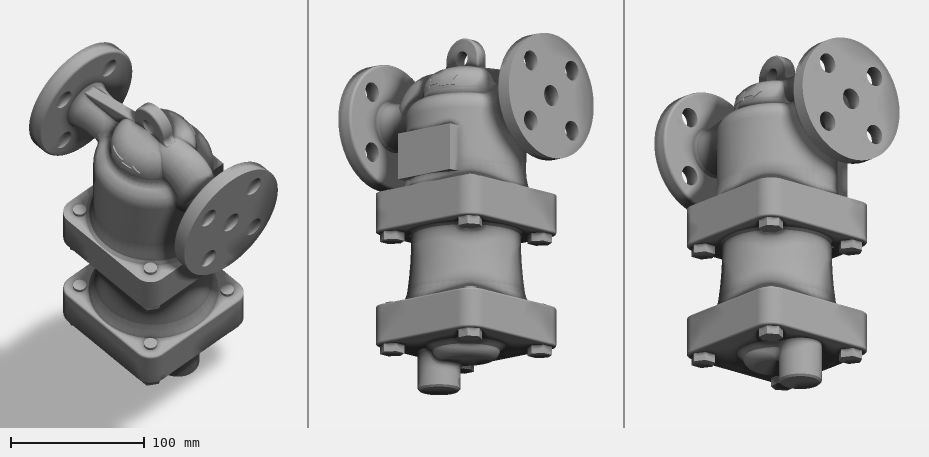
import cadquery as cq
import math


overlap = 1
select_margin = 1

flange_face_x = 85.5
flange_thickness = 12
flange_diameter = 95
flange_edge_round = 2
flange_hole_diameter = 15
flange_hole_count = 4
flange_hole_start_angle = 45
flange_bolt_circle = 65
port_diameter = 16
port_depth = flange_thickness

pipe_radius = 16
neck_start_x = 59
neck_end_x = 71
neck_mid_radius = 16.6
neck_end_radius = 18
neck_foot_radius = 19.5
elbow_top_z = 18
elbow_centre_x = 30.5
elbow_bend_radius = 16.5
inlet_fillet = 8
outlet_fillet = 3

plate_width = 103
plate_corner_radius = 13
plate_thickness = 15
plate_edge_round = 1.5
upper_joint_z = -78
lower_joint_z = -164
upper_plate_top = upper_joint_z + plate_thickness
upper_plate_bottom = upper_joint_z - plate_thickness
lower_plate_top = lower_joint_z + plate_thickness
lower_plate_bottom = lower_joint_z - plate_thickness

bolt_offset = 39
bolt_diameter = 10
bolt_end_height = 2.5
bolt_head_across_flats = 16
bolt_head_height = 6.3
bolt_head_clearance_radius = 15
bolt_head_clearance_depth = 9.5
bolt_head_clearance_round = 6

body_radius = 45
foot_radius = 50.5
foot_rim_radius = 48
foot_rim_height = 2
foot_flare_height = 15.5
foot_flare_mid_radius = 45.9
shoulder_z = -5.5
shoulder_round = 13.5
dome_radius = 32
dome_fillet = 5.5
dome_base_z = 14
dome_bulge_radius = 29
dome_bulge_z = 24.3
dome_cap_radius = 20
dome_cap_z = 30.6
dome_top_z = 34.6

middle_neck_radius = 41
middle_neck_z = -103
middle_waist_radius = 42
middle_waist_z = -121
middle_flare_radius = 44
middle_flare_z = -138.5
middle_foot_mid_radius = 45.7
middle_foot_radius = 48.5
middle_rim_width = 2
middle_rim_height = 1.8

cover_root_radius = 30
cover_radius = 25.5
cover_root_height = 3.5
cover_bulge_radius = 22.7
cover_bulge_z = -187.5
cover_floor_radius = 18
cover_floor_z = -189.7
drain_radius = 16
drain_x = 27
drain_bottom_z = -208.95
drain_chamfer = 1.5
drain_fillet = 3

lug_centre_z = 40
lug_radius = 16
lug_hole_diameter = 12
lug_thickness = 10
lug_edge_round = 1.5
lug_root_fillet = 4
lug_root_z = elbow_top_z + pipe_radius
rib_thickness = 9.2
rib_edge_round = 1
rib_outer_top_z = 18.6
rib_inner_top_z = 32

pad_width = 52
pad_face_y = 47
pad_top_z = -20
pad_bottom_z = -55
pad_fillet = 3

arrow_height = 0.8
arrow_tail_x = -15.5
arrow_notch = 2.5
arrow_step_x = -0.5
arrow_head_x = 9
arrow_tip_x = 15.5
arrow_centre_z = 18.5
arrow_wide_half = 3.8
arrow_narrow_half = 1.8


def revolve_about_z(outline):
    return outline.close().revolve(360, (0, 0, 0), (0, 1, 0))


def fillet_seam(solid, radius, low, high):
    """Round the edges whose centres lie inside the box between the corners low and high."""
    return solid.edges(cq.selectors.BoxSelector(low, high)).fillet(radius)


def square_points(offset):
    return [(sx * offset, sy * offset) for sx in (-1, 1) for sy in (-1, 1)]


def dome_outline(growth):
    """Half profile of the dome, enlarged outwards by growth."""
    cap_rise = dome_top_z - dome_cap_z
    cap_radius = (dome_cap_radius**2 + cap_rise**2) / (2 * cap_rise)
    return (
        cq.Workplane("XZ")
        .moveTo(0, 0)
        .lineTo(dome_radius + growth, 0)
        .lineTo(dome_radius + growth, dome_base_z)
        .threePointArc(
            (dome_bulge_radius + growth, dome_bulge_z + growth / 2),
            (dome_cap_radius + growth, dome_cap_z + growth),
        )
        .radiusArc((0, dome_top_z + growth), -cap_radius)
    )


def upper_body():
    flare_top = upper_plate_top + foot_flare_height
    rim_z = upper_plate_top + foot_rim_height
    shoulder_cut = shoulder_round * math.sqrt(0.5)
    shell = revolve_about_z(
        cq.Workplane("XZ")
        .moveTo(0, upper_plate_top - overlap)
        .lineTo(foot_radius, upper_plate_top - overlap)
        .lineTo(foot_radius, upper_plate_top)
        .lineTo(foot_rim_radius, rim_z)
        .threePointArc((foot_flare_mid_radius, (rim_z + flare_top) / 2), (body_radius, flare_top))
        .lineTo(body_radius, shoulder_z)
        .threePointArc(
            (body_radius - shoulder_round + shoulder_cut, shoulder_z + shoulder_cut),
            (body_radius - shoulder_round, shoulder_z + shoulder_round),
        )
        .lineTo(0, shoulder_z + shoulder_round)
    )
    body = shell.union(revolve_about_z(dome_outline(0)))
    seam_z = shoulder_z + shoulder_round
    low = (-select_margin, -select_margin, seam_z - select_margin)
    high = (select_margin, select_margin, seam_z + select_margin)
    return fillet_seam(body, dome_fillet, low, high)


def flange_and_neck(side):
    """Flange with its tapering neck; side is -1 for the inlet and +1 for the outlet."""
    back_x = flange_face_x - flange_thickness
    flange = (
        cq.Workplane("YZ")
        .workplane(offset=back_x)
        .circle(flange_diameter / 2)
        .extrude(flange_thickness)
        .faces("<X").edges().fillet(flange_edge_round)
        .faces(">X").workplane()
        .polarArray(flange_bolt_circle / 2, flange_hole_start_angle, 360, flange_hole_count)
        .hole(flange_hole_diameter)
    )
    neck = (
        cq.Workplane("XY")
        .moveTo(neck_start_x, 0)
        .lineTo(neck_start_x, pipe_radius)
        .threePointArc(
            ((neck_start_x + neck_end_x) / 2, neck_mid_radius),
            (neck_end_x, neck_end_radius),
        )
        .lineTo(back_x, neck_foot_radius)
        .lineTo(back_x, 0)
        .close()
        .revolve(360, (0, 0, 0), (1, 0, 0))
    )
    end = flange.union(neck)
    return end if side > 0 else end.mirror("YZ")


def inlet_pipe():
    return cq.Workplane("YZ").workplane(offset=-neck_start_x).circle(pipe_radius).extrude(neck_start_x)


def outlet_pipe():
    """Level run out of the dome, quarter bend downwards, level run to the neck."""
    dome_run = cq.Workplane("YZ").center(0, elbow_top_z).circle(pipe_radius).extrude(elbow_centre_x)
    bend = (
        cq.Workplane("YZ")
        .workplane(offset=elbow_centre_x)
        .center(0, elbow_top_z)
        .circle(pipe_radius)
        .revolve(90, (-1, -elbow_bend_radius, 0), (1, -elbow_bend_radius, 0))
    )
    neck_run = cq.Workplane("YZ").circle(pipe_radius).extrude(neck_start_x)
    return dome_run.union(bend).union(neck_run)


def plate(bottom_z, rounded_faces):
    body = (
        cq.Workplane("XY")
        .workplane(offset=bottom_z)
        .rect(plate_width, plate_width)
        .extrude(plate_thickness)
        .edges("|Z").fillet(plate_corner_radius)
    )
    for face in rounded_faces:
        body = body.faces(face).edges().fillet(plate_edge_round)
    return body


def bolts(joint_z):
    """Four bolts, each turned a quarter turn with its corner of the plate."""
    head_corners = bolt_head_across_flats / math.cos(math.pi / 6)
    shank = (
        cq.Workplane("XY")
        .workplane(offset=joint_z)
        .circle(bolt_diameter / 2)
        .extrude(plate_thickness + bolt_end_height)
    )
    head = (
        cq.Workplane("XY")
        .workplane(offset=joint_z - plate_thickness)
        .polygon(6, head_corners)
        .extrude(-bolt_head_height)
    )
    corner_bolt = shank.union(head).translate((bolt_offset, -bolt_offset, 0))
    bolt_set = cq.Workplane("XY")
    for quarter in range(4):
        bolt_set = bolt_set.add(corner_bolt.rotate((0, 0, 0), (0, 0, 1), 90 * quarter))
    return bolt_set.combine()


def middle_body():
    body = revolve_about_z(
        cq.Workplane("XZ")
        .moveTo(0, upper_plate_bottom)
        .lineTo(middle_neck_radius + middle_rim_width, upper_plate_bottom)
        .lineTo(middle_neck_radius, upper_plate_bottom - middle_rim_height)
        .lineTo(middle_neck_radius, middle_neck_z)
        .threePointArc((middle_waist_radius, middle_waist_z), (middle_flare_radius, middle_flare_z))
        .threePointArc(
            (middle_foot_mid_radius, (middle_flare_z + lower_plate_top) / 2),
            (middle_foot_radius, lower_plate_top),
        )
        .lineTo(0, lower_plate_top)
    )
    clearance = (
        cq.Workplane("XY")
        .workplane(offset=upper_plate_bottom)
        .pushPoints(square_points(bolt_offset))
        .circle(bolt_head_clearance_radius)
        .extrude(-bolt_head_clearance_depth)
        .faces("<Z").edges().fillet(bolt_head_clearance_round)
    )
    return body.cut(clearance)


def bottom_cover():
    root_z = lower_plate_bottom - cover_root_height
    cover = revolve_about_z(
        cq.Workplane("XZ")
        .moveTo(0, lower_plate_bottom + overlap)
        .lineTo(cover_root_radius, lower_plate_bottom + overlap)
        .lineTo(cover_root_radius, lower_plate_bottom)
        .lineTo(cover_radius, root_z)
        .threePointArc((cover_bulge_radius, cover_bulge_z), (cover_floor_radius, cover_floor_z))
        .lineTo(0, cover_floor_z)
    )
    drain = (
        cq.Workplane("XY")
        .workplane(offset=drain_bottom_z)
        .center(drain_x, 0)
        .circle(drain_radius)
        .extrude(lower_plate_bottom - drain_bottom_z)
        .faces("<Z").chamfer(drain_chamfer)
    )
    seam_low = (drain_x - drain_radius, -drain_radius, cover_floor_z)
    seam_high = (drain_x, drain_radius, lower_plate_bottom - select_margin)
    return fillet_seam(cover.union(drain), drain_fillet, seam_low, seam_high)


def lug_and_rib():
    lug = (
        cq.Workplane("XZ")
        .moveTo(-lug_radius, elbow_top_z)
        .lineTo(-lug_radius, lug_centre_z)
        .threePointArc((0, lug_centre_z + lug_radius), (lug_radius, lug_centre_z))
        .lineTo(lug_radius, lug_root_z + lug_root_fillet)
        .radiusArc((lug_radius + lug_root_fillet, lug_root_z), -lug_root_fillet)
        .lineTo(lug_radius + lug_root_fillet, elbow_top_z)
        .close()
        .extrude(lug_thickness / 2, both=True)
    )
    rim_low = (-lug_radius / 2, -lug_thickness, lug_centre_z)
    rim_high = (lug_radius / 2, lug_thickness, lug_centre_z + lug_radius + select_margin)
    lug = fillet_seam(lug, lug_edge_round, rim_low, rim_high)
    rib = (
        cq.Workplane("XZ")
        .moveTo(-neck_end_x, 0)
        .lineTo(-neck_end_x, rib_outer_top_z)
        .lineTo(-lug_radius, rib_inner_top_z)
        .lineTo(0, rib_inner_top_z)
        .lineTo(0, 0)
        .close()
        .extrude(rib_thickness / 2, both=True)
        .edges(cq.selectors.BoxSelector(
            (-neck_end_x + select_margin, -rib_thickness, rib_outer_top_z),
            (-lug_radius - select_margin, rib_thickness, rib_inner_top_z),
        ))
        .fillet(rib_edge_round)
    )
    hole = (
        cq.Workplane("XZ")
        .center(0, lug_centre_z)
        .circle(lug_hole_diameter / 2)
        .extrude(lug_thickness, both=True)
    )
    return lug.union(rib).cut(hole)


def body_with_pad():
    """Upper body with the flat nameplate pad blended into its back."""
    pad = (
        cq.Workplane("XY")
        .box(pad_width, pad_face_y, pad_top_z - pad_bottom_z, centered=(True, False, False))
        .translate((0, 0, pad_bottom_z))
    )
    half_width = pad_width / 2
    seam_y = math.sqrt(body_radius**2 - half_width**2)
    body = upper_body().union(pad)
    for side in (-1, 1):
        seam_x = side * half_width
        seam_low = (seam_x - select_margin, seam_y - select_margin, upper_plate_top + foot_flare_height)
        seam_high = (seam_x + select_margin, seam_y + select_margin, pad_top_z)
        body = fillet_seam(body, pad_fillet, seam_low, seam_high)
    return body


def body_with_pipes():
    """Upper body with both pipes, their visible seams rounded."""
    body = body_with_pad().union(inlet_pipe(), clean=False)
    body = fillet_seam(
        body,
        inlet_fillet,
        (-body_radius - select_margin, -pipe_radius, -pipe_radius),
        (-dome_radius + 2 * select_margin, pipe_radius, pipe_radius),
    )
    body = body.union(outlet_pipe(), clean=False)
    shoulder_low = (dome_radius, -pipe_radius, -pipe_radius)
    shoulder_high = (body_radius + select_margin, pipe_radius, pipe_radius / 4)
    return fillet_seam(body, outlet_fillet, shoulder_low, shoulder_high)


def flow_arrows():
    arrow = (
        cq.Workplane("XZ")
        .moveTo(arrow_tail_x, arrow_centre_z - arrow_wide_half)
        .lineTo(arrow_step_x, arrow_centre_z - arrow_wide_half)
        .lineTo(arrow_step_x, arrow_centre_z - arrow_narrow_half)
        .lineTo(arrow_head_x, arrow_centre_z - arrow_narrow_half)
        .lineTo(arrow_head_x, arrow_centre_z - arrow_wide_half)
        .lineTo(arrow_tip_x, arrow_centre_z)
        .lineTo(arrow_head_x, arrow_centre_z + arrow_wide_half)
        .lineTo(arrow_head_x, arrow_centre_z + arrow_narrow_half)
        .lineTo(arrow_step_x, arrow_centre_z + arrow_narrow_half)
        .lineTo(arrow_step_x, arrow_centre_z + arrow_wide_half)
        .lineTo(arrow_tail_x, arrow_centre_z + arrow_wide_half)
        .lineTo(arrow_tail_x + arrow_notch, arrow_centre_z)
        .close()
        .extrude(body_radius, both=True)
    )
    return arrow.intersect(revolve_about_z(dome_outline(arrow_height)))


def port(side):
    """Blind bore in the face of one pipe flange."""
    return (
        cq.Workplane("YZ")
        .workplane(offset=side * flange_face_x)
        .circle(port_diameter / 2)
        .extrude(-side * port_depth)
    )


result = body_with_pipes()
for part in (
    flange_and_neck(-1),
    flange_and_neck(1),
    lug_and_rib(),
    flow_arrows(),
    plate(upper_joint_z, []),
    plate(upper_plate_bottom, ["<Z"]),
    middle_body(),
    plate(lower_joint_z, [">Z"]),
    plate(lower_plate_bottom, ["<Z"]),
    bottom_cover(),
    bolts(upper_joint_z),
    bolts(lower_joint_z),
):
    result = result.union(part, clean=False)
for side in (-1, 1):
    result = result.cut(port(side), clean=False)